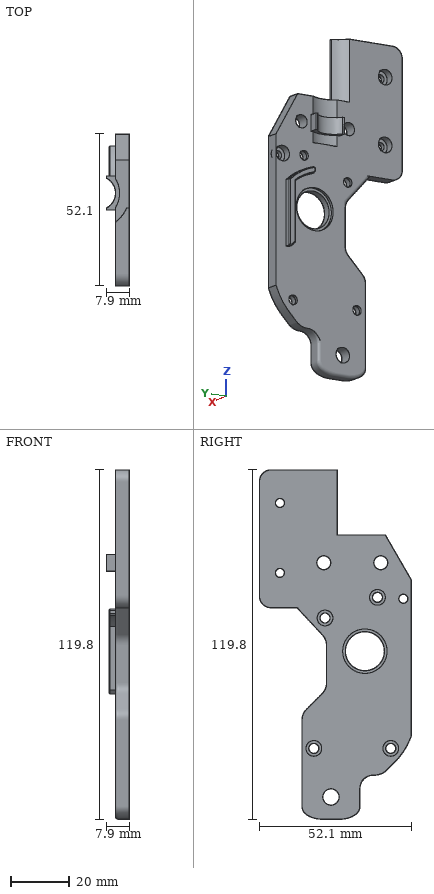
import cadquery as cq
import math


thickness = 4.8
width = 52.1
height = 119.8

tab_bottom = 72.5
tab_side = 26.7
tab_corner_radius = 4.1

shoulder_height = 97.5
shoulder_cut_start = 82.1
shoulder_cut_angle = 60.0

waist_y = 23.0
waist_slope_end_y = 13.0
waist_bottom = 44.6
waist_top = 61.7
waist_fillet_radius = 5.0

foot_center_y = 24.6
foot_half_width = 10.0
foot_flat_half_width = 2.9
foot_corner_height = 4.3
foot_neck_radius = 4.5
foot_wall_top = 15.1

flank_start_z = 28.5
flank_middle = (49.1, 22.8)
flank_end = (45.7, 18.8)
heel_start = (43.4, 16.5)
heel_middle = (41.5, 15.5)
heel_end = (39.2, foot_wall_top)

edge_radius = 1.1

margin = 0.2

main_bore_center = (36.2, 57.6)
main_bore_diameter = 13.3
main_bore_recess_diameter = 15.2
main_bore_front_recess = 1.1
main_bore_back_recess = 0.8
screw_hole_diameter = 3.0
screw_head_diameter = 5.5
screw_head_depth = 3.0
screw_centers = [(7.1, 108.5), (7.1, 84.5), (49.4, 75.6)]
pin_hole_diameter = 3.4
pin_head_diameter = 5.4
pin_land = 1.1
pin_centers = [(40.5, 76.1), (22.5, 69.0), (45.0, 24.3), (18.7, 24.3)]
clip_hole_diameter = 4.7
clip_hole_spacing = 19.5
foot_hole_diameter = 5.5
foot_hole_height = 7.7

clip_center_y = 31.9
groove_radius = 9.3
groove_depth = 1.4
groove_bottom = 81.1
clip_width = 11.7
clip_bottom = 85.0
clip_height = 5.9
clip_projection = 3.1
clip_inner_radius = 5.8
clip_hole_z = 88.0

hollow_start_y = 21.9
hollow_depth = 3.8
hollow_radius = 11.5

rib_outer_radius = 23.4
rib_inner_radius = 21.6
rib_outer_bend_z = 66.4
rib_inner_bend_z = 66.0
rib_outer_tip_z = 72.3
rib_inner_tip_z = 70.0
rib_outer_y = 48.0
rib_inner_y = 45.4
rib_tip_y = 37.1
rib_bottom = 42.9
rib_projection = 2.2
rib_bottom_chamfer = 1.4
rib_tip_chamfer = 0.6
rib_edge_chamfer = 0.4

foot_front_y = foot_center_y - foot_half_width
foot_rear_y = foot_center_y + foot_half_width


def on_face(x):
    """Workplane parallel to the plate with local axes Y and Z and its normal along +X."""
    return cq.Workplane("YZ", origin=(x, 0, 0))


def region(y_range, z_range):
    """Selector for edges centered within a Y and Z range."""
    corner_low = (-thickness, y_range[0], z_range[0])
    corner_high = (2 * thickness, y_range[1], z_range[1])
    return cq.selectors.BoxSelector(corner_low, corner_high)


def holes(centers, diameter, depth=thickness, start=0):
    """Cylinders running toward the back, starting at the given X."""
    return on_face(start).pushPoints(centers).circle(diameter / 2).extrude(depth)


def plate_blank():
    """Flat plate with the sharp-cornered outline."""
    front_wall_top = waist_bottom - (waist_y - foot_front_y)
    shoulder_run = (shoulder_height - shoulder_cut_start) / math.tan(math.radians(shoulder_cut_angle))
    corner_run = foot_half_width - foot_flat_half_width

    return (
        on_face(0)
        .moveTo(0, height)
        .lineTo(tab_side, height)
        .lineTo(tab_side, shoulder_height)
        .lineTo(width - shoulder_run, shoulder_height)
        .lineTo(width, shoulder_cut_start)
        .lineTo(width, flank_start_z)
        .threePointArc(flank_middle, flank_end)
        .lineTo(*heel_start)
        .threePointArc(heel_middle, heel_end)
        .lineTo(foot_rear_y, foot_wall_top)
        .lineTo(foot_rear_y, foot_corner_height)
        .ellipseArc(corner_run, foot_corner_height, -90, 0, sense=-1)
        .lineTo(foot_center_y - foot_flat_half_width, 0)
        .ellipseArc(corner_run, foot_corner_height, 180, 270, sense=-1)
        .lineTo(foot_front_y, front_wall_top)
        .lineTo(waist_y, waist_bottom)
        .lineTo(waist_y, waist_top)
        .lineTo(waist_slope_end_y, tab_bottom)
        .lineTo(0, tab_bottom)
        .close()
        .extrude(thickness)
    )


def rounded(plate):
    """Rounds the outline corners and the front edge around the waist and foot."""
    tab_corners = region((-margin, margin), (tab_bottom - margin, height + margin))
    foot_shoulder = region((foot_front_y - margin, foot_front_y + margin), (foot_wall_top, waist_bottom))
    waist_corners = region((waist_y - margin, waist_y + margin), (waist_bottom - margin, tab_bottom))
    neck_corner = region(
        (foot_rear_y - margin, foot_rear_y + margin),
        (foot_wall_top - edge_radius, foot_wall_top + margin),
    )
    foot_edges = region((foot_front_y - margin, foot_rear_y + margin), (-margin, foot_wall_top - margin))
    waist_edges = region((foot_front_y - margin, waist_y + margin), (foot_wall_top, tab_bottom - margin))

    plate = plate.edges("|X").edges(tab_corners).fillet(tab_corner_radius)
    plate = plate.edges("|X").edges(foot_shoulder).fillet(waist_fillet_radius)
    plate = plate.faces("<X").edges(foot_edges + waist_edges).fillet(edge_radius)
    plate = plate.edges("|X").edges(waist_corners).fillet(waist_fillet_radius)
    return plate.edges("|X").edges(neck_corner).fillet(foot_neck_radius)


def tab_hollow():
    """Concave scoop along the tab's side, above the shoulder."""
    profile = (
        cq.Workplane("XY", origin=(0, 0, shoulder_height))
        .moveTo(0, hollow_start_y)
        .radiusArc((hollow_depth, tab_side), -hollow_radius)
        .lineTo(0, tab_side)
        .close()
    )
    return profile.extrude(height - shoulder_height)


def groove():
    """Shallow round channel running down from the shoulder."""
    axis_x = groove_depth - groove_radius
    base = cq.Workplane("XY", origin=(axis_x, clip_center_y, groove_bottom))
    return base.circle(groove_radius).extrude(shoulder_height - groove_bottom)


def clip():
    """Block with a round seat that bottoms out on the mounting face."""
    block = cq.Workplane("XY").box(
        clip_projection + groove_depth, clip_width, clip_height, centered=(False, True, False)
    )
    block = block.translate((-clip_projection, clip_center_y, clip_bottom))
    seat = (
        cq.Workplane("XY", origin=(-clip_inner_radius, clip_center_y, clip_bottom))
        .circle(clip_inner_radius)
        .extrude(clip_height)
    )
    return block.cut(seat)


def guide_rib():
    """Straight rib that bends into a shallow arc above the main bore."""
    rib = (
        on_face(-rib_projection)
        .moveTo(rib_outer_y, rib_bottom)
        .lineTo(rib_outer_y, rib_outer_bend_z)
        .radiusArc((rib_tip_y, rib_outer_tip_z), -rib_outer_radius)
        .lineTo(rib_tip_y, rib_inner_tip_z)
        .radiusArc((rib_inner_y, rib_inner_bend_z), rib_inner_radius)
        .lineTo(rib_inner_y, rib_bottom + rib_bottom_chamfer)
        .lineTo(rib_inner_y + rib_bottom_chamfer, rib_bottom)
        .close()
        .extrude(rib_projection)
    )
    rib = rib.edges("|X").edges("<Y").chamfer(rib_tip_chamfer)
    return rib.faces("<X").chamfer(rib_edge_chamfer)


half_spacing = clip_hole_spacing / 2
clip_hole_centers = [(clip_center_y + side * half_spacing, clip_hole_z) for side in (-1, 1)]

result = rounded(plate_blank())
result = result.cut(tab_hollow()).cut(groove())
result = result.union(clip()).union(guide_rib())
result = result.cut(holes([main_bore_center], main_bore_diameter))
result = result.cut(holes([main_bore_center], main_bore_recess_diameter, main_bore_front_recess))
result = result.cut(
    holes([main_bore_center], main_bore_recess_diameter, start=thickness - main_bore_back_recess)
)
result = result.cut(holes(screw_centers, screw_hole_diameter))
result = result.cut(holes(screw_centers, screw_head_diameter, screw_head_depth))
result = result.cut(holes(pin_centers, pin_hole_diameter))
result = result.cut(holes(pin_centers, pin_head_diameter, start=pin_land))
result = result.cut(holes(clip_hole_centers, clip_hole_diameter))
result = result.cut(holes([(foot_center_y, foot_hole_height)], foot_hole_diameter))